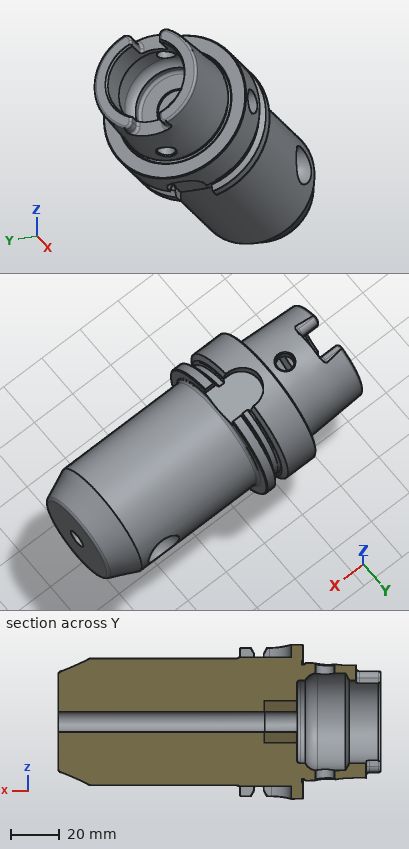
import cadquery as cq
import math

total_length = 131.9
flange_radius = 31.5
body_radius = 26.0

shank_length = 31.8
taper_end = 30.0
taper_slope = 0.05
taper_big_radius = 24.1
taper_small_radius = taper_big_radius - taper_slope * taper_end
rim_rounding = 1.0
undercut_start = 30.7
undercut_radius = 23.5
face_relief_radius = 25.2
face_relief_depth = 0.5

flange_end = 57.6
flange_chamfer = 0.4
groove_start = 46.5
groove_stop = 53.2
groove_floor_radius = 27.5
groove_wall_top_radius = 29.1
groove_fillet = 0.7
groove_flank_angle = 30.0
groove_flank_run = (flange_radius - groove_wall_top_radius) * math.tan(math.radians(groove_flank_angle))

body_fillet = 1.3
nose_cone_start = 118.8
nose_cone_angle = 24.0
nose_cone_drop = (total_length - nose_cone_start) * math.tan(math.radians(nose_cone_angle))
nose_rounding = 1.6

cavity_radius = 16.9
cavity_depth = 34.3
guide_bore_end = 12.9
chamber_radius = 19.8
shoulder_angle = 60.0
chamber_end = 26.1
chamber_end_arc = 5.3
cavity_floor_fillet = 1.3
cavity_mouth_length = 1.2
cavity_mouth_chamfer = 0.7

drive_slot_half_width = 6.1
drive_slot_shoulder = 20.7
drive_slot_corner = 2.6
drive_slot_floor_fillet = 1.3
top_drive_slot_depth = 10.2
bottom_drive_slot_depth = 6.1

clamp_hole_x = 22.8
clamp_hole_radius = 3.8
clamp_hole_chamfer = 0.5

keyway_start = 4.9 + shank_length
keyway_floor = 26.4
top_keyway_width = 18.0
bottom_keyway_width = 16.1

chip_pocket_x = 38.8
chip_pocket_radius = 5.0
chip_pocket_depth = 4.6
dimple_x = 107.2
dimple_radius = 8.0

bushing_radius = 8.5
bushing_mouth_chamfer = 0.4
bushing_length = 13.2
coolant_radius = 4.1


def revolved_blank():
    """Outside of the holder: taper, undercut, grooved flange, body and nose."""
    outline = (
        cq.Workplane("XY")
        .moveTo(0, 0)
        .lineTo(0, taper_small_radius)
        .lineTo(taper_end, taper_big_radius)
        .lineTo(undercut_start, taper_big_radius)
        .lineTo(undercut_start + taper_big_radius - undercut_radius, undercut_radius)
        .lineTo(shank_length + face_relief_depth, undercut_radius)
        .lineTo(shank_length + face_relief_depth, face_relief_radius - face_relief_depth)
        .lineTo(shank_length, face_relief_radius)
        .lineTo(shank_length, flange_radius - flange_chamfer)
        .lineTo(shank_length + flange_chamfer, flange_radius)
        .lineTo(groove_start, flange_radius)
        .lineTo(groove_start + groove_flank_run, groove_wall_top_radius)
        .lineTo(groove_start + groove_flank_run, groove_floor_radius + groove_fillet)
        .radiusArc((groove_start + groove_flank_run + groove_fillet, groove_floor_radius), -groove_fillet)
        .lineTo(groove_stop - groove_flank_run - groove_fillet, groove_floor_radius)
        .radiusArc((groove_stop - groove_flank_run, groove_floor_radius + groove_fillet), -groove_fillet)
        .lineTo(groove_stop - groove_flank_run, groove_wall_top_radius)
        .lineTo(groove_stop, flange_radius)
        .lineTo(flange_end - flange_chamfer, flange_radius)
        .lineTo(flange_end, flange_radius - flange_chamfer)
        .lineTo(flange_end, body_radius + body_fillet)
        .radiusArc((flange_end + body_fillet, body_radius), -body_fillet)
        .lineTo(nose_cone_start, body_radius)
        .lineTo(total_length, body_radius - nose_cone_drop)
        .lineTo(total_length, 0)
        .close()
    )
    blank = outline.revolve(360, (0, 0, 0), (1, 0, 0))
    return blank.faces(">X").edges().fillet(nose_rounding)


def x_cylinder(radius, start, length):
    return cq.Workplane("YZ", origin=(start, 0, 0)).circle(radius).extrude(length)


def cavity():
    """Mouth chamfer, guide bore, conical clamping shoulder, wide chamber and rounded floor."""
    chamber_step = chamber_radius - cavity_radius
    narrow_start = chamber_end + math.sqrt(chamber_end_arc**2 - (chamber_end_arc - chamber_step) ** 2)
    chamber_start = guide_bore_end + chamber_step / math.tan(math.radians(shoulder_angle))
    return (
        cq.Workplane("XY")
        .moveTo(0, 0)
        .lineTo(0, cavity_radius + cavity_mouth_chamfer)
        .lineTo(cavity_mouth_length, cavity_radius)
        .lineTo(guide_bore_end, cavity_radius)
        .lineTo(chamber_start, chamber_radius)
        .lineTo(chamber_end, chamber_radius)
        .radiusArc((narrow_start, cavity_radius), chamber_end_arc)
        .lineTo(cavity_depth - cavity_floor_fillet, cavity_radius)
        .radiusArc((cavity_depth, cavity_radius - cavity_floor_fillet), cavity_floor_fillet)
        .lineTo(cavity_depth, 0)
        .close()
        .revolve(360, (0, 0, 0), (1, 0, 0))
    )


def drive_slot(depth, side):
    """Slot across the taper rim whose walls curve outward into flat shoulders; side is +1 (top) or -1."""
    arc_start = drive_slot_shoulder - drive_slot_corner
    arc_end = drive_slot_half_width + drive_slot_corner
    reach = flange_radius
    slot = (
        cq.Workplane("YZ")
        .moveTo(-drive_slot_half_width, 0)
        .lineTo(drive_slot_half_width, 0)
        .lineTo(drive_slot_half_width, arc_start)
        .radiusArc((arc_end, drive_slot_shoulder), drive_slot_corner)
        .lineTo(reach, drive_slot_shoulder)
        .lineTo(reach, reach)
        .lineTo(-reach, reach)
        .lineTo(-reach, drive_slot_shoulder)
        .lineTo(-arc_end, drive_slot_shoulder)
        .radiusArc((-drive_slot_half_width, arc_start), drive_slot_corner)
        .close()
        .extrude(depth)
    )
    low_walls = cq.selectors.BoxSelector((0, -reach, 1.3), (2 * depth, reach, arc_start))
    slot = slot.faces(">X").edges(low_walls).fillet(drive_slot_floor_fillet)
    return slot if side > 0 else slot.mirror("XY")


def cut_clamp_holes(housing):
    """Cross hole through both shank walls, chamfered where it meets the taper."""
    holes = cq.Workplane("XY").center(clamp_hole_x, 0).circle(clamp_hole_radius).extrude(
        flange_radius, both=True)
    reach = clamp_hole_radius + clamp_hole_chamfer
    mouth_low = chamber_radius + clamp_hole_chamfer
    housing = housing.cut(holes)
    for low, high in ((mouth_low, flange_radius), (-flange_radius, -mouth_low)):
        mouth = cq.selectors.BoxSelector(
            (clamp_hole_x - reach, -reach, low), (clamp_hole_x + reach, reach, high), boundingbox=True)
        housing = housing.edges(mouth).chamfer(clamp_hole_chamfer)
    return housing


def keyway(width, side):
    """Round-ended flat keyway, open toward the nose; side is +1 (top) or -1 (bottom)."""
    radius = width / 2
    straight_start = keyway_start + radius
    straight_length = flange_end + body_fillet - straight_start
    floor = cq.Workplane("XY", origin=(straight_start, 0, keyway_floor))
    round_end = floor.circle(radius).extrude(flange_radius)
    straight = floor.center(straight_length / 2, 0).rect(straight_length, width).extrude(flange_radius)
    cutter = round_end.union(straight)
    return cutter if side > 0 else cutter.mirror("XY")


def chip_pocket():
    """Blind round pocket in the -Y side of the flange."""
    floor = cq.Workplane("XZ", origin=(chip_pocket_x, chip_pocket_depth - flange_radius, 0))
    return floor.circle(chip_pocket_radius).extrude(flange_radius)


def dimple(side):
    """Ball centred on the body surface; side is +1 (+Y) or -1 (-Y)."""
    return cq.Workplane("XY", origin=(dimple_x, side * body_radius, 0)).sphere(dimple_radius)


def bushing_seat():
    """Blind hole for the bushing with a chamfered mouth at the cavity floor."""
    return (
        cq.Workplane("XY")
        .moveTo(cavity_depth, 0)
        .lineTo(cavity_depth, bushing_radius + bushing_mouth_chamfer)
        .lineTo(cavity_depth + bushing_mouth_chamfer, bushing_radius)
        .lineTo(cavity_depth + bushing_length, bushing_radius)
        .lineTo(cavity_depth + bushing_length, 0)
        .close()
        .revolve(360, (0, 0, 0), (1, 0, 0))
    )


def make_housing():
    housing = revolved_blank()
    housing = housing.cut(drive_slot(top_drive_slot_depth, 1))
    housing = housing.cut(drive_slot(bottom_drive_slot_depth, -1))
    housing = housing.faces("<X").edges().fillet(rim_rounding)
    housing = housing.cut(cavity())
    housing = cut_clamp_holes(housing)
    housing = housing.cut(keyway(top_keyway_width, 1))
    housing = housing.cut(keyway(bottom_keyway_width, -1))
    housing = housing.cut(chip_pocket())
    for side in (1, -1):
        housing = housing.cut(dimple(side))
    housing = housing.cut(bushing_seat())
    return housing.cut(x_cylinder(coolant_radius, cavity_depth, total_length))


def make_bushing():
    """Plain ring filling its seat, bored to match the coolant hole."""
    ring = x_cylinder(bushing_radius, cavity_depth, bushing_length)
    return ring.cut(x_cylinder(coolant_radius, cavity_depth, bushing_length))


housing = make_housing()
bushing = make_bushing()
result = cq.Compound.makeCompound([housing.val(), bushing.val()])